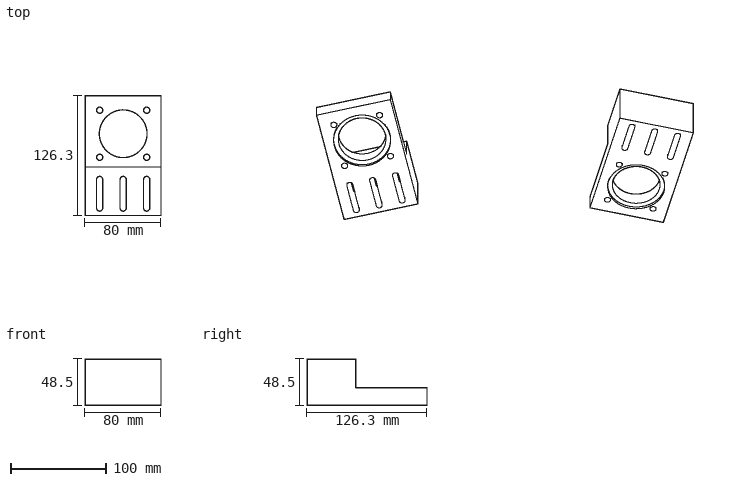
import cadquery as cq

width = 80.0
length = 126.3
height = 48.5

plate_thickness = 18.5
plate_length = 75.0
block_length = length - plate_length

bore_diameter = 50.0
bore_to_rear_edge = 40.0
bore_y = length - bore_to_rear_edge
recess_diameter = 60.0
recess_depth = 3.0
screw_diameter = 6.3
screw_spacing = 49.5

slot_width = screw_diameter
slot_length = 36.4
slot_center_y = 23.1
slot_count = 3
slot_spacing = screw_spacing / (slot_count - 1)


def bracket_body():
    """Plate and block, centred in X with the front face at Y = 0."""
    plate = cq.Workplane("XY").box(width, length, plate_thickness, centered=(True, False, False))
    block = cq.Workplane("XY").box(width, block_length, height, centered=(True, False, False))
    return plate.union(block)


def motor_holes():
    """Central bore, its shallow recess on the underside, and the square of four screw holes around it."""
    center = cq.Workplane("XY").center(0, bore_y)
    bore = center.circle(bore_diameter / 2).extrude(plate_thickness)
    recess = center.circle(recess_diameter / 2).extrude(recess_depth)
    screws = (
        center.rect(screw_spacing, screw_spacing, forConstruction=True)
        .vertices()
        .circle(screw_diameter / 2)
        .extrude(plate_thickness)
    )
    return bore.union(recess).union(screws)


def adjustment_slots():
    """Row of round-ended slots running through the full block height."""
    return (
        cq.Workplane("XY")
        .center(0, slot_center_y)
        .rarray(slot_spacing, 1.3, slot_count, 1)
        .slot2D(slot_length, slot_width, 90)
        .extrude(height)
    )


result = bracket_body().cut(motor_holes()).cut(adjustment_slots())